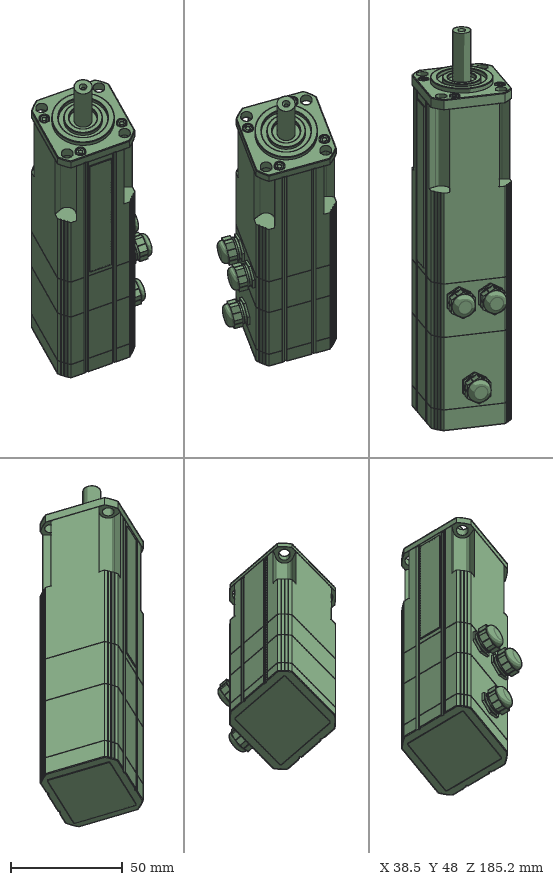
import cadquery as cq
import math

total_height = 185.2
pilot_top = 162.6
flange_top = 160.4
flange_bottom = 155.5
pocket_floor = 115.4
pad_height = 0.5
seam_heights = (10.7, 45.7, 71.5, flange_bottom)

body_width = 38.0
body_half = body_width / 2
corner_flat_half = 14.35
corner_radius = math.hypot(body_half, corner_flat_half)
edge_chamfer = 0.4
pad_width = 30.5
seam_depth = 0.1
seam_width = 0.07

corner_groove_count = 3
corner_groove_pitch = 1.57
corner_groove_width = 0.4
corner_groove_depth = 0.4

slot_inner = 6.0
slot_step = 6.9
slot_outer = 8.0
slot_shallow_depth = 0.4
slot_deep_depth = 0.7

pocket_radius = 4.0
pocket_flare_angle = 22.5

mount_hole_offset = 14.0
mount_hole_radius = 2.6
pilot_radius = 14.0
groove_outer_radius = 11.1
groove_inner_radius = 8.7
shaft_gap_radius = 6.3
pilot_recess_depth = 1.9
pilot_edge_chamfer = 0.28
shaft_radius = 4.0
center_hole_diameter = 1.7
center_cone_diameter = 3.3
center_hole_depth = 3.7
center_cone_angle = 60.0

screw_x = 8.1
screw_y = 15.4
counterbore_radius = 2.5
counterbore_depth = 1.0
screw_head_radius = 1.9
screw_head_height = 0.7
socket_across_corners = 2.2
socket_depth = 0.5

plate_width = 10.5
plate_bottom = 74.6
plate_top = 152.5
plate_thickness = 0.5

gland_reach = 10.0
gland_hex_diameter = 12.8
gland_base_length = 1.1
gland_neck_radius = 5.0
gland_neck_length = 1.1
gland_collar_radius = 5.4
gland_collar_length = 1.0
gland_nut_length = 4.0
gland_nut_notch = 0.2
gland_dome_radius = 5.4
gland_dome_fillet = 2.2
gland_positions = ((-7.5, 63.2), (7.5, 63.2), (0.0, 21.1))


def upright_cylinder(radius, bottom, top):
    return cq.Workplane("XY").workplane(offset=bottom).circle(radius).extrude(top - bottom)


def square_block(width, bottom, top):
    return cq.Workplane("XY").workplane(offset=bottom).rect(width, width).extrude(top - bottom)


def rounded_block(width, radius, bottom, top):
    """Square block whose corners are trimmed by a coaxial cylinder."""
    return square_block(width, bottom, top).intersect(upright_cylinder(radius, bottom, top))


def make_body():
    body = rounded_block(body_width, corner_radius, pad_height, flange_top)
    body = body.faces("<Z or >Z").edges().chamfer(edge_chamfer)
    return body.union(square_block(pad_width, 0, 2 * pad_height).edges("|Z").chamfer(edge_chamfer))


def cut_seams(body):
    """Shallow lines round the housing where its stacked sections meet."""
    for height in seam_heights:
        bottom = height - seam_width / 2
        top = height + seam_width / 2
        core = rounded_block(body_width - 2 * seam_depth, corner_radius - seam_depth, bottom, top)
        body = body.cut(square_block(body_width, bottom, top).cut(core))
    return body


def cut_corner_grooves(body):
    span = (corner_groove_count - 1) * corner_groove_pitch
    positions = [(corner_radius, i * corner_groove_pitch - span / 2) for i in range(corner_groove_count)]
    grooves = (
        cq.Workplane("XY")
        .pushPoints(positions)
        .rect(2 * corner_groove_depth, corner_groove_width)
        .extrude(flange_bottom)
    )
    for corner in range(4):
        body = body.cut(grooves.rotate((0, 0, 0), (0, 0, 1), 45 + 90 * corner))
    return body


def cut_face_slots(body):
    shallow_x = body_half - slot_shallow_depth
    deep_x = body_half - slot_deep_depth
    slot = (
        cq.Workplane("XY")
        .polyline(
            [
                (body_half, slot_outer),
                (shallow_x, slot_outer),
                (shallow_x, slot_step),
                (deep_x, slot_step),
                (deep_x, slot_inner),
                (body_half, slot_inner),
            ]
        )
        .close()
        .extrude(flange_bottom)
    )
    pair = slot.union(slot.mirror("XZ"))
    return body.cut(pair).cut(pair.mirror("YZ"))


def cut_corner_pockets(body):
    """U-shaped pockets round the mounting holes, their side walls flaring towards the outside."""
    diagonal = math.sqrt(2) * mount_hole_offset
    flare = math.radians(pocket_flare_angle)
    tangent_x = diagonal - pocket_radius * math.sin(flare)
    tangent_y = pocket_radius * math.cos(flare)
    mouth_x = math.sqrt(2) * body_half
    mouth_y = tangent_y + (mouth_x - tangent_x) * math.tan(flare)
    pocket = (
        cq.Workplane("XY")
        .workplane(offset=pocket_floor)
        .moveTo(mouth_x, mouth_y)
        .lineTo(tangent_x, tangent_y)
        .threePointArc((diagonal - pocket_radius, 0), (tangent_x, -tangent_y))
        .lineTo(mouth_x, -mouth_y)
        .close()
        .extrude(flange_bottom - pocket_floor)
    )
    for corner in range(4):
        body = body.cut(pocket.rotate((0, 0, 0), (0, 0, 1), 45 + 90 * corner))
    return body


def cut_mount_holes(body):
    holes = (
        cq.Workplane("XY")
        .workplane(offset=flange_bottom)
        .rect(2 * mount_hole_offset, 2 * mount_hole_offset, forConstruction=True)
        .vertices()
        .circle(mount_hole_radius)
        .extrude(flange_top - flange_bottom)
    )
    return body.cut(holes)


def add_pilot(body):
    """Pilot boss with a ring groove and a gap round the shaft, all top edges lightly broken."""
    recess_floor = pilot_top - pilot_recess_depth
    pilot = upright_cylinder(pilot_radius, flange_bottom, pilot_top)
    groove = upright_cylinder(groove_outer_radius, recess_floor, pilot_top)
    groove = groove.cut(upright_cylinder(groove_inner_radius, recess_floor, pilot_top))
    pilot = pilot.cut(groove)
    pilot = pilot.cut(upright_cylinder(shaft_gap_radius, recess_floor, pilot_top))
    return body.union(pilot.faces(">Z").edges().chamfer(pilot_edge_chamfer))


def add_shaft(body):
    shaft = upright_cylinder(shaft_radius, flange_bottom, total_height)
    shaft = shaft.faces(">Z").workplane().cskHole(
        center_hole_diameter, center_cone_diameter, center_cone_angle, center_hole_depth
    )
    return body.union(shaft)


def add_cover_screws(body):
    floor = flange_top - counterbore_depth
    head_top = floor + screw_head_height
    bore = upright_cylinder(counterbore_radius, floor, flange_top)
    head = upright_cylinder(screw_head_radius, floor, head_top)
    socket = (
        cq.Workplane("XY")
        .workplane(offset=head_top - socket_depth)
        .polygon(6, socket_across_corners)
        .extrude(socket_depth)
    )
    cutter = bore.cut(head).union(socket).translate((screw_x, screw_y, 0))
    for quarter in range(4):
        body = body.cut(cutter.rotate((0, 0, 0), (0, 0, 1), 90 * quarter))
    return body


def add_side_plate(body):
    plate = cq.Workplane("XY").box(2 * plate_thickness, plate_width, plate_top - plate_bottom)
    return body.union(plate.translate((body_half, 0, (plate_top + plate_bottom) / 2)))


def make_gland():
    """One gland along +Z from its seat: hex base, neck, collar, hex nut and domed cap."""
    nut_bottom = gland_base_length + gland_neck_length + gland_collar_length
    dome_length = gland_reach - nut_bottom - gland_nut_length
    gland = (
        cq.Workplane("XY")
        .polygon(6, gland_hex_diameter)
        .extrude(gland_base_length)
        .faces(">Z")
        .workplane()
        .circle(gland_neck_radius)
        .extrude(gland_neck_length)
        .faces(">Z")
        .workplane()
        .circle(gland_collar_radius)
        .extrude(gland_collar_length)
        .faces(">Z")
        .workplane()
        .polygon(6, gland_hex_diameter)
        .extrude(gland_nut_length)
        .faces(">Z")
        .workplane()
        .circle(gland_dome_radius)
        .extrude(dome_length)
        .faces(">Z").edges()
        .fillet(gland_dome_fillet)
    )
    face_distance = gland_hex_diameter / 2 * math.cos(math.pi / 6)
    notches = (
        cq.Workplane("XY")
        .workplane(offset=nut_bottom)
        .polarArray(face_distance, 30, 360, 6)
        .rect(2 * gland_nut_notch, gland_nut_notch)
        .extrude(gland_nut_length)
    )
    return gland.cut(notches)


def add_glands(body):
    hex_corners_up = make_gland().rotate((0, 0, 0), (0, 0, 1), 90)
    gland = hex_corners_up.rotate((0, 0, 0), (1, 0, 0), -90)
    for x, z in gland_positions:
        body = body.union(gland.translate((x, body_half, z)))
    return body


result = make_body()
result = cut_seams(result)
result = cut_corner_grooves(result)
result = cut_face_slots(result)
result = cut_corner_pockets(result)
result = cut_mount_holes(result)
result = add_pilot(result)
result = add_shaft(result)
result = add_cover_screws(result)
result = add_side_plate(result)
result = add_glands(result)